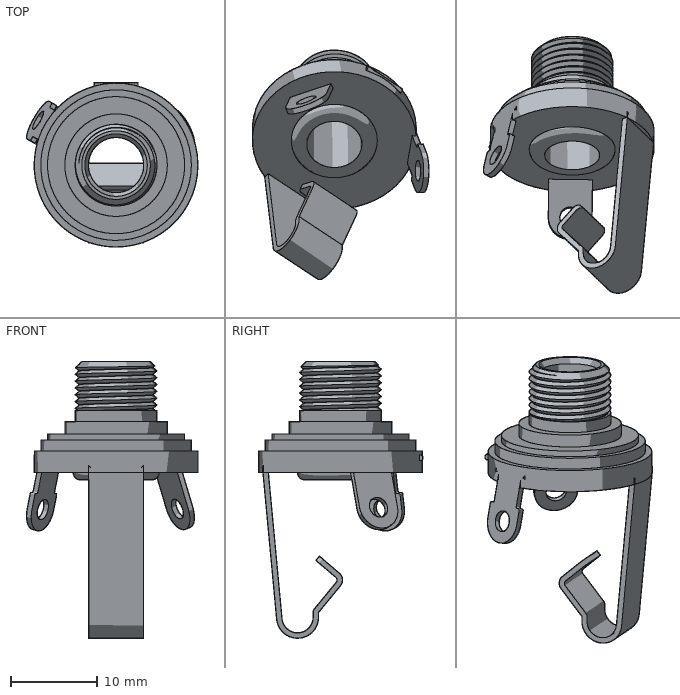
import cadquery as cq
import math

OVERALL_TOP = 12.93

RIM_RADIUS = 9.525
RIM_TOP = 2.54
STEPS = [
    (RIM_RADIUS, RIM_TOP),
    (8.75, 3.82),
    (7.97, 4.5),
    (5.96, 5.93),
]
BARREL_RADIUS = 4.755
NECK_TOP = 7.2
BARREL_RIM_RADIUS = 3.99
BORE_RADIUS = 3.2
COUNTERSINK_RADIUS = 3.63
COUNTERSINK_DEPTH = 0.67

PITCH = 25.4 / 32
THREAD_ROOT_RADIUS = 4.33
RIDGE_BASE = 0.97 * PITCH
RIDGE_SINK = 0.02
CREST_START_ANGLE = 180
FIRST_CREST_DROP = 0.7

BOSS_RADIUS = 5.0
BOSS_HEIGHT = 0.84

SHEET = 0.65

SPRING_WIDTH = 6.4
SPRING_TILT = 5.34
SPRING_BEND_START = 0.65
LOOP_RADIUS = 2.45
LOOP_Y = -4.99
LOOP_Z = -16.8
KINK_RISE = 0.56
RAMP_ANGLE = 50.6
RAMP_LENGTH = 4.4
LIP_ANGLE = 40.5
LIP_LENGTH = 3.45
LIP_CORNER_RADIUS = 0.85
LIP_BEND_RADIUS = 0.4

TERMINAL_WIDTH = 5.1
TERMINAL_HOLE = 2.4
HEAD_DROP = 4.25
NECK_WIDTH = 3.9
SHOULDER_DROP = 2.35
SHOULDER_FILLET = 0.2
NECKED_TOP = 1.25
BEND_START = 1.5

LEFT_AZIMUTH = 150
LEFT_TILT = 12.6
LEFT_FACE_RADIUS = RIM_RADIUS

RIGHT_AZIMUTH = 30
RIGHT_TILT = 19
RIGHT_FACE_RADIUS = 7.45

TAB_REACH = 9.585
TAB_LENGTH = 2.0
TAB_BOTTOM = 1.4
TAB_FILLET = 0.3


def disc(radius, bottom, top):
    return cq.Workplane("XY").workplane(offset=bottom).circle(radius).extrude(top - bottom)


def thread_ridge():
    """Helical V ridge whose crest lies on the barrel surface, running out past both ends."""
    crest_at_start = OVERALL_TOP - FIRST_CREST_DROP
    turns_below = math.ceil((crest_at_start - NECK_TOP) / PITCH) + 1
    turns_above = math.ceil((OVERALL_TOP - crest_at_start) / PITCH) + 1
    helix = cq.Wire.makeHelix(PITCH, (turns_below + turns_above) * PITCH, BARREL_RADIUS)
    base_radius = THREAD_ROOT_RADIUS - RIDGE_SINK
    return (
        cq.Workplane("XZ")
        .moveTo(BARREL_RADIUS, 0)
        .lineTo(base_radius, RIDGE_BASE / 2)
        .lineTo(base_radius, -RIDGE_BASE / 2)
        .close()
        .sweep(cq.Workplane(helix), isFrenet=True)
        .rotate((0, 0, 0), (0, 0, 1), CREST_START_ANGLE)
        .translate((0, 0, crest_at_start - turns_below * PITCH))
    )


def barrel():
    """Plain neck with the threaded length above it, chamfered at the top."""
    envelope = disc(BARREL_RADIUS, NECK_TOP, OVERALL_TOP)
    envelope = envelope.faces(">Z").chamfer(BARREL_RADIUS - BARREL_RIM_RADIUS)
    ridge = thread_ridge().intersect(envelope)
    core = disc(THREAD_ROOT_RADIUS, NECK_TOP, OVERALL_TOP).intersect(envelope)
    return disc(BARREL_RADIUS, 0, NECK_TOP).union(core).union(ridge)


def body():
    solid = barrel()
    bottom = 0
    for radius, top in STEPS:
        solid = solid.union(disc(radius, bottom, top))
        bottom = top
    boss = disc(BOSS_RADIUS, -BOSS_HEIGHT, RIM_TOP / 2).faces("<Z").edges().fillet(BOSS_HEIGHT)
    return solid.union(boss)


def bore():
    """Through bore with a conical countersink at the top."""
    return (
        cq.Workplane("XZ")
        .moveTo(0, -BOSS_HEIGHT)
        .lineTo(BORE_RADIUS, -BOSS_HEIGHT)
        .lineTo(BORE_RADIUS, OVERALL_TOP - COUNTERSINK_DEPTH)
        .lineTo(COUNTERSINK_RADIUS, OVERALL_TOP)
        .lineTo(0, OVERALL_TOP)
        .close()
        .revolve(360, (0, 0), (0, 1))
    )


def step(point, angle, distance):
    """Point reached from `point` by going `distance` at `angle` degrees in the Y-Z plane."""
    y, z = point
    return (y + distance * math.cos(math.radians(angle)), z + distance * math.sin(math.radians(angle)))


def contact_spring():
    """Strip running down from the disc, round the bottom loop, up a ramp and back to a lip."""
    center = (LOOP_Y, LOOP_Z)
    inner_radius = LOOP_RADIUS - SHEET
    leg_side = 180 + SPRING_TILT
    leg_up = 90 + SPRING_TILT
    leg_length = (SPRING_BEND_START - LOOP_Z) / math.cos(math.radians(SPRING_TILT))
    ramp_up = RAMP_ANGLE
    ramp_normal = ramp_up + 90
    lip_up = 180 - LIP_ANGLE
    lip_normal = lip_up - 90

    leg_outer = step(center, leg_side, LOOP_RADIUS)
    leg_top_outer = step(leg_outer, leg_up, leg_length)
    leg_inner = step(center, leg_side, inner_radius)
    leg_top_inner = step(leg_inner, leg_up, leg_length)
    bend_middle = step(leg_top_inner, (leg_side + 90) / 2, SHEET)
    bend_end = step(leg_top_inner, 90, SHEET)
    loop_end_outer = step(center, 0, LOOP_RADIUS)
    loop_end_inner = step(center, 0, inner_radius)
    kink = step(loop_end_outer, 90, KINK_RISE)
    kink_start = step(kink, 180, SHEET)
    kink_middle = step(kink, (180 + ramp_normal) / 2, SHEET)
    ramp_start = step(kink, ramp_normal, SHEET)
    lip_corner = step(ramp_start, ramp_up, RAMP_LENGTH)
    lip_bend_setback = LIP_BEND_RADIUS / math.tan(math.radians((RAMP_ANGLE + LIP_ANGLE) / 2))
    lip_bend_start = step(lip_corner, ramp_up, -lip_bend_setback)
    lip_bend_center = step(lip_bend_start, ramp_normal, LIP_BEND_RADIUS)
    ramp_outward = ramp_normal - 180
    lip_bend_middle_angle = (ramp_outward + lip_normal) / 2
    lip_bend_outer_radius = LIP_BEND_RADIUS + SHEET
    lip_end_inner = step(lip_corner, lip_up, LIP_LENGTH)
    lip_end_outer = step(lip_end_inner, lip_normal, SHEET)
    lip_end_middle = step(lip_end_inner, lip_normal, SHEET / 2)

    strip = (
        cq.Workplane("YZ")
        .moveTo(*bend_end)
        .threePointArc(bend_middle, leg_top_outer)
        .lineTo(*leg_outer)
        .threePointArc(step(center, 270, LOOP_RADIUS), loop_end_outer)
        .lineTo(*kink)
        .lineTo(*step(lip_bend_center, ramp_outward, lip_bend_outer_radius))
        .threePointArc(
            step(lip_bend_center, lip_bend_middle_angle, lip_bend_outer_radius),
            step(lip_bend_center, lip_normal, lip_bend_outer_radius),
        )
        .lineTo(*lip_end_outer)
        .lineTo(*lip_end_inner)
        .lineTo(*step(lip_bend_center, lip_normal, LIP_BEND_RADIUS))
        .threePointArc(step(lip_bend_center, lip_bend_middle_angle, LIP_BEND_RADIUS), lip_bend_start)
        .lineTo(*ramp_start)
        .threePointArc(kink_middle, kink_start)
        .lineTo(*loop_end_inner)
        .threePointArc(step(center, 270, inner_radius), leg_inner)
        .lineTo(*leg_top_inner)
        .close()
        .extrude(SPRING_WIDTH / 2, both=True)
    )
    for side in (-1, 1):
        lip_end_corner = (side * SPRING_WIDTH / 2, *lip_end_middle)
        strip = strip.edges(cq.selectors.NearestToPointSelector(lip_end_corner)).fillet(LIP_CORNER_RADIUS)
    return strip


def plate(width, bottom, top):
    """Flat strip with its outer face on Z = 0, centred on X and running along Y."""
    return (
        cq.Workplane("XY")
        .center(0, (bottom + top) / 2)
        .rect(width, top - bottom)
        .extrude(-SHEET)
    )


def place_terminal(flat, azimuth, tilt, face_radius):
    """Stand a flat terminal up, lean its lower end outwards and turn it to its azimuth."""
    return (
        flat.rotate((0, 0, 0), (1, 0, 0), 90 - tilt)
        .translate((0, -face_radius, 0))
        .rotate((0, 0, 0), (0, 0, 1), azimuth + 90)
    )


def bend():
    """Round of the bend where a terminal turns inwards, below the face of the strip."""
    return (
        cq.Workplane("YZ")
        .center(BEND_START, -SHEET)
        .circle(SHEET)
        .extrude(TERMINAL_WIDTH / 2, both=True)
    )


def terminal_head(top):
    """Round-ended head that reaches up to `top`."""
    round_end = cq.Workplane("XY").center(0, -HEAD_DROP).circle(TERMINAL_WIDTH / 2).extrude(-SHEET)
    return round_end.union(plate(TERMINAL_WIDTH, -HEAD_DROP, top))


def eyelet():
    return cq.Workplane("XY").center(0, -HEAD_DROP).circle(TERMINAL_HOLE / 2).extrude(-SHEET)


def left_terminal():
    """Terminal with a narrowed neck between the head and the bend."""
    flat = terminal_head(-SHOULDER_DROP).union(plate(NECK_WIDTH, -HEAD_DROP, BEND_START))
    around_shoulder = cq.selectors.BoxSelector(
        (-TERMINAL_WIDTH, -SHOULDER_DROP - SHOULDER_FILLET, -2 * SHEET),
        (TERMINAL_WIDTH, -SHOULDER_DROP + SHOULDER_FILLET, SHEET),
    )
    flat = flat.edges("|Z").edges(around_shoulder).fillet(SHOULDER_FILLET)
    flat = flat.union(plate(TERMINAL_WIDTH, NECKED_TOP, BEND_START)).union(bend()).cut(eyelet())
    return place_terminal(flat, LEFT_AZIMUTH, LEFT_TILT, LEFT_FACE_RADIUS)


def right_terminal():
    """Terminal of constant width."""
    flat = terminal_head(BEND_START).cut(eyelet())
    return place_terminal(flat, RIGHT_AZIMUTH, RIGHT_TILT, RIGHT_FACE_RADIUS)


def washer_tab():
    return (
        cq.Workplane("XY")
        .box(TERMINAL_WIDTH, TAB_LENGTH, SHEET, centered=(True, False, False))
        .edges(">Y and |X")
        .fillet(TAB_FILLET)
        .translate((0, TAB_REACH - TAB_LENGTH, TAB_BOTTOM))
    )


result = (
    body()
    .cut(bore())
    .union(contact_spring())
    .union(left_terminal())
    .union(right_terminal())
    .union(washer_tab())
)